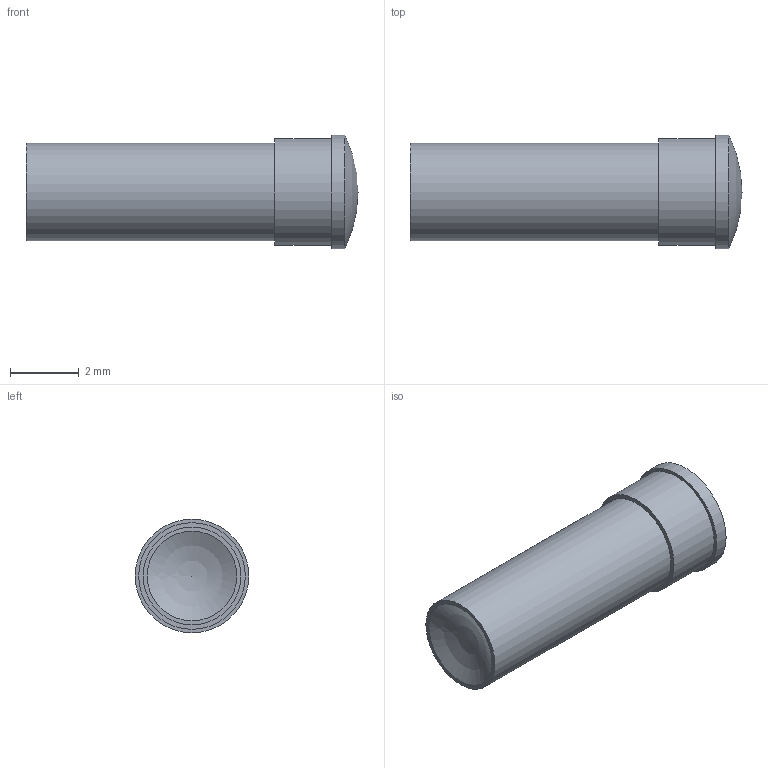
import cadquery as cq
import math

total_length = 9.65
body_diameter = 2.84
collar_diameter = 3.1
head_diameter = 3.3
dish_diameter = 2.6

collar_length = 1.65
head_rim_length = 0.39
dome_height = 0.38
dish_depth = 0.35

body_start = 0.0
dome_start = body_start + total_length - dome_height
head_start = dome_start - head_rim_length
collar_start = head_start - collar_length


def make_cylinder(diameter, start, end):
    """Cylinder on the X axis between two stations."""
    return cq.Workplane("YZ", origin=(start, 0, 0)).circle(diameter / 2).extrude(end - start)


def make_cap(base_diameter, height, base_station):
    """Spherical cap on the X axis, rising toward +X from its flat base."""
    base_radius = base_diameter / 2
    sphere_radius = (base_radius**2 + height**2) / (2 * height)
    center_offset = height - sphere_radius
    mid_radius = base_radius / 2
    mid_offset = center_offset + math.sqrt(sphere_radius**2 - mid_radius**2)
    profile = (
        cq.Workplane("XY", origin=(base_station, 0, 0))
        .lineTo(0, base_radius)
        .threePointArc((mid_offset, mid_radius), (height, 0))
        .close()
    )
    return profile.revolve(360, (0, 0, 0), (1, 0, 0))


body = make_cylinder(body_diameter, body_start, collar_start)
collar = make_cylinder(collar_diameter, collar_start, head_start)
head_rim = make_cylinder(head_diameter, head_start, dome_start)
dome = make_cap(head_diameter, dome_height, dome_start)
dish = make_cap(dish_diameter, dish_depth, body_start)

result = body.union(collar).union(head_rim).union(dome).cut(dish)